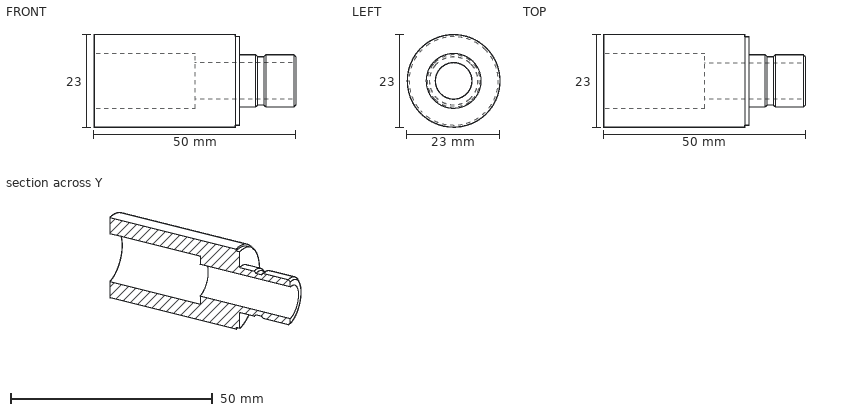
import cadquery as cq

total_length = 50.0
body_length = 35.0
collar_length = 1.0
socket_depth = 25.0

body_radius = 11.5
collar_radius = 11.0
spigot_radius = 6.5
socket_radius = 6.8
bore_radius = 4.5

tip_chamfer = 0.55
groove_start = 40.0
groove_end = 42.5
groove_depth = 0.5


def x_cylinder(radius, start, length):
    """Cylinder on the X axis, running from start in the +X direction."""
    return cq.Workplane("YZ", origin=(start, 0, 0)).circle(radius).extrude(length)


def groove_cutter():
    """Ring with a flat floor and 45 degree flanks."""
    floor_radius = spigot_radius - groove_depth
    clearance = groove_depth
    outer_radius = spigot_radius + clearance
    return (
        cq.Workplane("XY")
        .moveTo(groove_start - clearance, outer_radius)
        .lineTo(groove_start + groove_depth, floor_radius)
        .lineTo(groove_end - groove_depth, floor_radius)
        .lineTo(groove_end + clearance, outer_radius)
        .close()
        .revolve(360, (0, 0, 0), (1, 0, 0))
    )


spigot = x_cylinder(spigot_radius, body_length, total_length - body_length)
spigot = spigot.faces(">X").chamfer(tip_chamfer)
spigot = spigot.cut(groove_cutter())

body = x_cylinder(body_radius, 0, body_length)
collar = x_cylinder(collar_radius, body_length, collar_length)

socket = x_cylinder(socket_radius, 0, socket_depth)
bore = x_cylinder(bore_radius, 0, total_length)

result = body.union(collar).union(spigot).cut(socket).cut(bore)